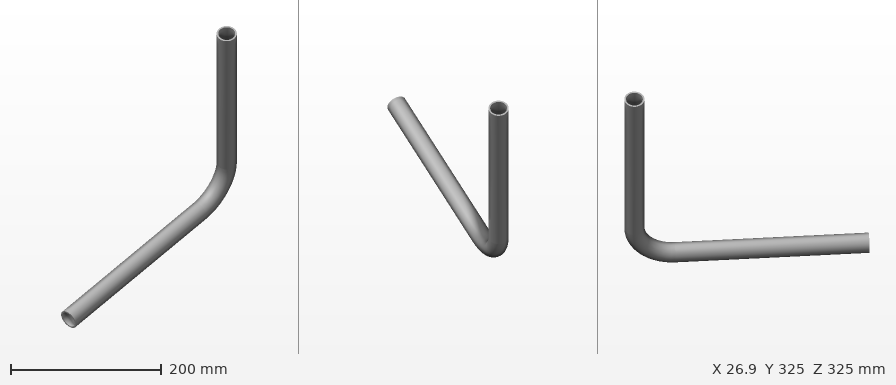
import cadquery as cq

outer_diameter = 26.9
inner_diameter = 22.3
overall_length = 325.04
bend_radius = 2 * outer_diameter

leg_reach = overall_length - outer_diameter / 2


def centreline():
    """Path in the YZ plane: leg along -Y, quarter-circle bend, leg along +Z.

    The two leg centrelines, extended, cross at the origin.
    """
    return (
        cq.Workplane("YZ")
        .moveTo(-leg_reach, 0)
        .lineTo(-bend_radius, 0)
        .tangentArcPoint((0, bend_radius), relative=False)
        .lineTo(0, leg_reach)
    )


def bent_tube():
    """Ring-shaped cross-section swept along the centreline from the -Y end."""
    open_end = cq.Workplane("XZ", origin=(0, -leg_reach, 0))
    section = open_end.circle(outer_diameter / 2).circle(inner_diameter / 2)
    return section.sweep(centreline())


result = bent_tube()